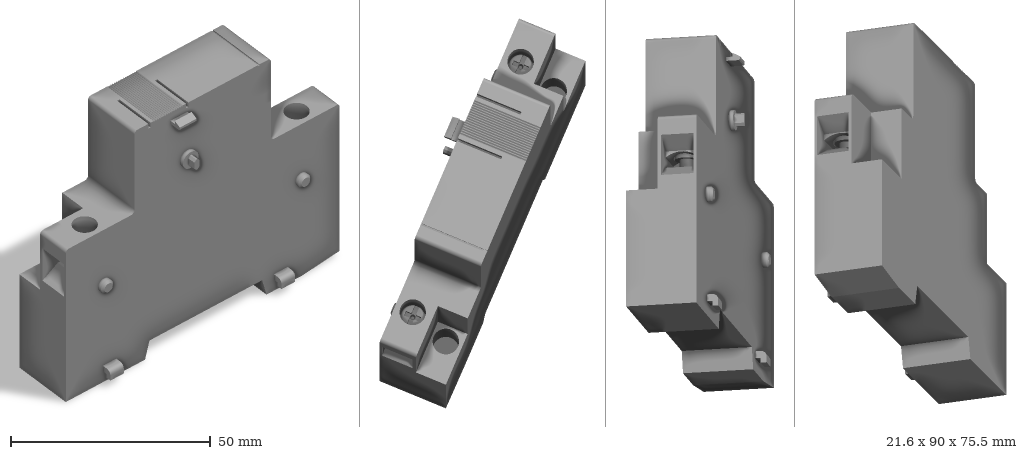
import cadquery as cq


width = 18.0
length = 90.0
height = 75.5
half_length = length / 2
tower_half_length = 22.4
shoulder_z = 49.0
convex_radius = 1.0
concave_radius = 1.2

notch_height = 5.4
notch_top_front = -17.5
notch_top_back = 19.5
notch_flare = 1.45
bevel_rise = 1.5
bevel_length = 12.3

pocket_width = 8.1
pocket_length = 14.1
pocket_floor_z = 30.1
terminal_y = 34.8
terminal_radius = 3.3
plain_hole_x = 4.3
plain_hole_depth = 10.0

window_x_min = 9.0
window_x_max = 17.3
window_z_min = 33.6
window_z_max = 44.0
funnel_depth = 5.0
throat_z_min = 36.75
throat_z_max = 41.0
chamber_length = 9.0
arch_spring_z = 39.4
arch_crown_z = 40.8

screw_x = 13.3
screw_top_z = 44.0
head_radius = 3.0
head_bottom_z = 39.8
screw_tip_z = 34.0
shaft_radius = 1.8
head_edge_radius = 0.6
recess_depth = 1.0
slot_width = 1.2
cross_arm_length = 4.2
centre_recess_top_radius = 1.0
centre_recess_tip_radius = 0.4
centre_recess_depth = 2.0

label_groove_y = 18.4
label_groove_width = 0.5
label_groove_depth = 0.3
slit_x_min = 5.95
slit_width = 0.75
slit_depth = 1.5
slit_ys = (-5.1, -17.5)
grip_count = 16
grip_pitch = 0.6
grip_depth = 0.3
grip_start_y = -6.5

peg_y = 32.4
peg_z = 31.35
peg_radius = 1.95
peg_length = 1.75
peg_chamfer = 0.6
post_y = -4.9
post_z = 57.75
flange_radius = 2.55
flange_length = 1.15
post_reach = 3.5
post_half_width = 0.85
post_half_height = 1.65
post_bevel = 0.65
top_hook_y = (-10.6, -5.1)
top_hook_z = 71.7
top_hook_reach = 3.6
top_hook_thickness = 1.0
hook_bevel = 0.3
barb_reach = 1.7
barb_z = 73.7
bottom_hook_ys = ((-32.8, -28.4), (23.4, 27.9))
bottom_hook_tip_z = 2.3
bottom_hook_arm_z = 3.5
bottom_hook_top_z = 5.3
bottom_hook_reach = 2.9
bottom_hook_throat = 1.4
bottom_hook_rounding = 1.4


def box(x_range, y_range, z_range):
    """Axis-aligned block between the given limits."""
    size = [high - low for low, high in (x_range, y_range, z_range)]
    corner = (x_range[0], y_range[0], z_range[0])
    return cq.Workplane("XY").box(*size, centered=False).translate(corner)


def side_pin(y, z, pin_length, radius):
    """Round pin standing on the side wall along X."""
    return cq.Workplane("YZ", origin=(width, y, z)).circle(radius).extrude(pin_length)


def side_hook(outline, y_range):
    """Hook on the side wall; outline points are (reach, z)."""
    points = [(width + reach, z) for reach, z in outline]
    start, end = y_range
    return cq.Workplane("XZ", origin=(0, end, 0)).polyline(points).close().extrude(end - start)


def make_block():
    """Stepped outline in YZ, extruded across the width and rounded at its corners."""
    outline = [
        (-half_length, 0),
        (notch_top_front - notch_flare, 0),
        (notch_top_front, notch_height),
        (notch_top_back, notch_height),
        (notch_top_back + notch_flare, 0),
        (half_length - bevel_length, 0),
        (half_length, bevel_rise),
        (half_length, shoulder_z),
        (tower_half_length, shoulder_z),
        (tower_half_length, height),
        (-tower_half_length, height),
        (-tower_half_length, shoulder_z),
        (-half_length, shoulder_z),
    ]
    block = cq.Workplane("YZ").polyline(outline).close().extrude(width)
    for y, z, radius in (
        (half_length, shoulder_z, convex_radius),
        (tower_half_length, shoulder_z, concave_radius),
        (tower_half_length, height, convex_radius),
    ):
        for side in (-1, 1):
            corner = cq.selectors.NearestToPointSelector((width / 2, side * y, z))
            block = block.edges("|X").edges(corner).fillet(radius)
    return block


def cut_terminal(block):
    """Corner pocket, both terminal holes and the wire window of the -Y end."""
    pocket = box(
        (0, pocket_width),
        (-half_length, -half_length + pocket_length),
        (pocket_floor_z, shoulder_z),
    )
    plain_hole = (
        cq.Workplane("XY", origin=(plain_hole_x, -terminal_y, pocket_floor_z))
        .circle(terminal_radius)
        .extrude(-plain_hole_depth)
    )
    throat_y = -half_length + funnel_depth
    funnel = (
        cq.Workplane("YZ", origin=(window_x_min, 0, 0))
        .moveTo(-half_length, window_z_min)
        .lineTo(throat_y, throat_z_min)
        .lineTo(throat_y, throat_z_max)
        .lineTo(-half_length, window_z_max)
        .close()
        .extrude(window_x_max - window_x_min)
    )
    chamber = (
        cq.Workplane("XZ", origin=(0, throat_y, 0))
        .moveTo(window_x_min, throat_z_min)
        .lineTo(window_x_max, throat_z_min)
        .lineTo(window_x_max, arch_spring_z)
        .threePointArc((screw_x, arch_crown_z), (window_x_min, arch_spring_z))
        .close()
        .extrude(-chamber_length)
    )
    screw_hole = screw_envelope(terminal_radius, shoulder_z)
    for cutter in (pocket, plain_hole, funnel, chamber, screw_hole):
        block = block.cut(cutter)
    return block


def screw_envelope(top_radius, top_z):
    """Shaft with a wider cylinder above it up to top_z, on the screw axis of the -Y end."""
    return (
        cq.Workplane("XZ")
        .moveTo(0, screw_tip_z)
        .lineTo(shaft_radius, screw_tip_z)
        .lineTo(shaft_radius, head_bottom_z)
        .lineTo(top_radius, head_bottom_z)
        .lineTo(top_radius, top_z)
        .lineTo(0, top_z)
        .close()
        .revolve(360, (0, 0, 0), (0, 1, 0))
        .translate((screw_x, -terminal_y, 0))
    )


def make_screw():
    """Terminal screw at the -Y end with a slot, a cross arm and a tapered centre."""
    screw = screw_envelope(head_radius, screw_top_z).faces(">Z").edges().fillet(head_edge_radius)
    face = cq.Workplane("XY", origin=(screw_x, -terminal_y, screw_top_z))
    slot = face.rect(slot_width, 2 * head_radius).extrude(-recess_depth)
    cross_arm = face.rect(cross_arm_length, slot_width).extrude(-recess_depth)
    centre_recess = (
        face.circle(centre_recess_top_radius)
        .workplane(offset=-centre_recess_depth)
        .circle(centre_recess_tip_radius)
        .loft()
    )
    return screw.cut(slot).cut(cross_arm).cut(centre_recess)


def cut_tower_top(block):
    """Label groove, two slits open to the side wall, and the V-grooved finger grip."""
    groove_low = label_groove_y - label_groove_width / 2
    groove_range = (groove_low, groove_low + label_groove_width)
    block = block.cut(box((0, width), groove_range, (height - label_groove_depth, height)))

    for y in slit_ys:
        slit_range = (y - slit_width / 2, y + slit_width / 2)
        block = block.cut(box((slit_x_min, width), slit_range, (height - slit_depth, height)))

    grip_end_y = grip_start_y - grip_count * grip_pitch
    zigzag = [(grip_end_y, height)]
    for index in range(grip_count):
        groove_start_y = grip_end_y + index * grip_pitch
        zigzag.append((groove_start_y + grip_pitch / 2, height - grip_depth))
        zigzag.append((groove_start_y + grip_pitch, height))
    zigzag.append((grip_start_y, height + grip_depth))
    zigzag.append((grip_end_y, height + grip_depth))
    return block.cut(cq.Workplane("YZ").polyline(zigzag).close().extrude(width))


def add_coupling(block):
    """Pegs, keyed post and snap hooks on the +X side wall."""
    for y in (-peg_y, peg_y):
        peg = side_pin(y, peg_z, peg_length, peg_radius)
        block = block.union(peg.faces(">X").edges().chamfer(peg_chamfer))

    block = block.union(side_pin(post_y, post_z, flange_length, flange_radius))
    post = (
        cq.Workplane("YZ", origin=(width, post_y, post_z))
        .rect(2 * post_half_width, 2 * post_half_height)
        .extrude(post_reach)
        .edges("|X")
        .chamfer(post_bevel)
    )
    block = block.union(post)

    top_hook = [
        (0, top_hook_z),
        (top_hook_reach - hook_bevel, top_hook_z),
        (top_hook_reach, top_hook_z + hook_bevel),
        (top_hook_reach, top_hook_z + top_hook_thickness),
        (barb_reach, barb_z),
        (barb_reach, top_hook_z + top_hook_thickness),
        (0, top_hook_z + top_hook_thickness),
    ]
    block = block.union(side_hook(top_hook, top_hook_y))

    bottom_hook = [
        (0, bottom_hook_arm_z),
        (0, bottom_hook_top_z),
        (bottom_hook_reach, bottom_hook_top_z),
        (bottom_hook_reach, bottom_hook_tip_z),
        (bottom_hook_throat, bottom_hook_tip_z),
        (bottom_hook_throat, bottom_hook_arm_z),
    ]
    for y_range in bottom_hook_ys:
        hook = side_hook(bottom_hook, y_range)
        outer_corner = hook.edges("|Y").edges(">X").edges(">Z")
        block = block.union(outer_corner.fillet(bottom_hook_rounding))
    return block


def make_housing():
    """Complete housing with the same terminal at both ends."""
    block = make_block()
    block = cut_terminal(block)
    block = cut_terminal(block.mirror("XZ")).mirror("XZ")
    block = cut_tower_top(block)
    return add_coupling(block)


housing = make_housing()
front_screw = make_screw()
screws = [front_screw, front_screw.mirror("XZ")]

result = cq.Compound.makeCompound([housing.val(), *[screw.val() for screw in screws]])